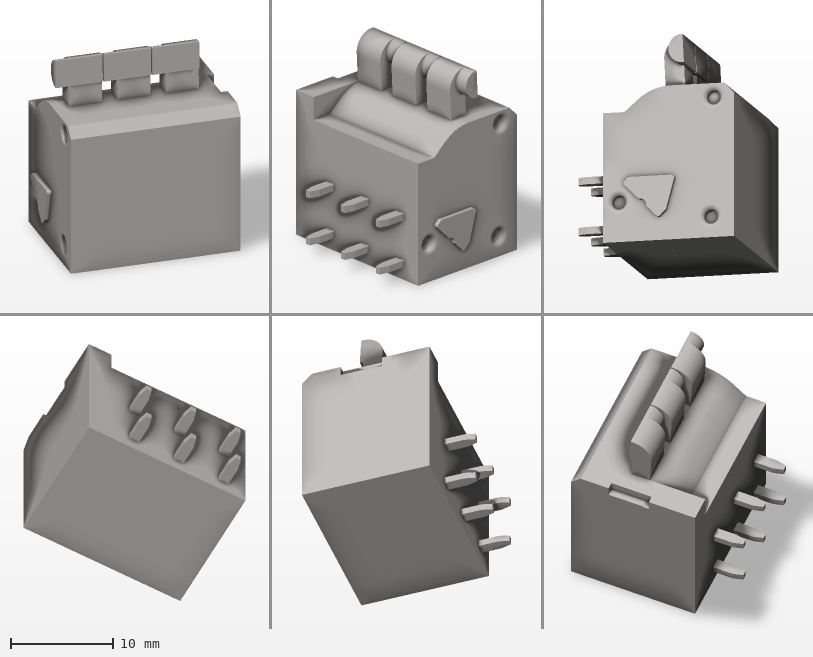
import cadquery as cq
import math


POLES = 3
PITCH = 5.0
BODY_LENGTH = 13.23
BODY_HEIGHT = 15.4
CORNER_CHAMFER = 1.03
LEDGE_HEIGHT = 12.98
LEDGE_LENGTH = 2.14
SLOPE_ANGLE = 41.0
SHOULDER_RADIUS = 5.0

PLATE_THICKNESS = 2.53
NOTCH_START = 4.93
NOTCH_LENGTH = 4.3
NOTCH_WIDTH = 0.7
NOTCH_DEPTH = 1.03
GROOVE_WIDTH = 0.72
GROOVE_DEPTH = 0.08

PIN_ROWS = 2
PIN_LENGTH = 3.08
PIN_TAPER_LENGTH = 1.03
PIN_WIDTH = 1.07
PIN_TIP_WIDTH = 0.53
PIN_THICKNESS = 0.72
LOWER_PIN_HEIGHT = 1.77
PIN_SPACING = PITCH

RECESS_CENTRES = [(11.07, 14.05), (1.5, 4.03), (10.8, 2.14)]
RECESS_RADIUS = 0.68
RECESS_LIP_RADIUS = 0.51
RECESS_DEPTH = 1.0

KEY_HEIGHT = 0.5
KEY_TOP = 6.37
KEY_RIGHT = 7.37
KEY_RIGHT_LEAN = 15.0
KEY_LEFT = 2.05
KEY_LEFT_Z = 5.8
KEY_LOWER_EDGE_DROP = 3.62
KEY_CORNER_RADIUS = 0.29
KEY_BITE_RADIUS = 0.62
KEY_BITE_X = 3.86
KEY_BITE_Z = 3.51

LEVER_TILT = 3.0
LEVER_TIP_X = 7.97
LEVER_TIP_Z = 20.55
STEM_THICKNESS = 1.97
STEM_WIDTH = 3.4
STEM_SETBACK = 0.35
STEM_DEPTH = 1.03
GRIP_WIDTH = 4.85
GRIP_HEIGHT = 2.83
GRIP_DEPTH = 1.5


def plane_facing_front(x, y, z, tilt=0.0):
    """Plane at (x, y, z) that extrudes toward -Y, turned by `tilt` degrees from +X toward +Z."""
    angle = math.radians(tilt)
    return cq.Plane(origin=(x, y, z), xDir=(math.cos(angle), 0, math.sin(angle)), normal=(0, -1, 0))


def pole_body(y_front):
    """Pole block with the low ledge, the slope and the rounded shoulder."""
    slope = math.radians(SLOPE_ANGLE)
    shoulder_drop = SHOULDER_RADIUS * (1 - math.cos(slope))
    slope_end_z = BODY_HEIGHT - shoulder_drop
    slope_end_x = LEDGE_LENGTH + (slope_end_z - LEDGE_HEIGHT) / math.tan(slope)
    shoulder_end_x = slope_end_x + SHOULDER_RADIUS * math.sin(slope)
    shoulder_mid_x = shoulder_end_x - SHOULDER_RADIUS * math.sin(slope / 2)
    shoulder_mid_z = BODY_HEIGHT - SHOULDER_RADIUS * (1 - math.cos(slope / 2))
    return (
        cq.Workplane(plane_facing_front(0, y_front + PITCH, 0))
        .lineTo(BODY_LENGTH, 0)
        .lineTo(BODY_LENGTH, BODY_HEIGHT - CORNER_CHAMFER)
        .lineTo(BODY_LENGTH - CORNER_CHAMFER, BODY_HEIGHT)
        .lineTo(shoulder_end_x, BODY_HEIGHT)
        .threePointArc((shoulder_mid_x, shoulder_mid_z), (slope_end_x, slope_end_z))
        .lineTo(LEDGE_LENGTH, LEDGE_HEIGHT)
        .lineTo(0, LEDGE_HEIGHT)
        .close()
        .extrude(PITCH)
    )


def pin(y_centre, z_centre):
    """Flat pin along -X with a tapered end."""
    half_width = PIN_WIDTH / 2
    half_tip = PIN_TIP_WIDTH / 2
    taper_start = PIN_TAPER_LENGTH - PIN_LENGTH
    return (
        cq.Workplane("XY", origin=(0, y_centre, z_centre - PIN_THICKNESS / 2))
        .moveTo(0, half_width)
        .lineTo(taper_start, half_width)
        .lineTo(-PIN_LENGTH, half_tip)
        .lineTo(-PIN_LENGTH, -half_tip)
        .lineTo(taper_start, -half_width)
        .lineTo(0, -half_width)
        .close()
        .extrude(PIN_THICKNESS)
    )


def end_plate(y_front):
    """Full-height closing plate with a notch in its rear top edge and a groove in the notch floor."""
    plate = (
        cq.Workplane("XY")
        .box(BODY_LENGTH, PLATE_THICKNESS, BODY_HEIGHT, centered=False)
        .edges(">X and >Z")
        .chamfer(CORNER_CHAMFER)
        .translate((0, y_front, 0))
    )
    y_rear = y_front + PLATE_THICKNESS
    notch = (
        cq.Workplane(plane_facing_front(NOTCH_START, y_rear, BODY_HEIGHT))
        .lineTo(0, -NOTCH_DEPTH)
        .threePointArc((GROOVE_WIDTH / 2, -NOTCH_DEPTH - GROOVE_DEPTH), (GROOVE_WIDTH, -NOTCH_DEPTH))
        .lineTo(NOTCH_LENGTH, -NOTCH_DEPTH)
        .lineTo(NOTCH_LENGTH, 0)
        .close()
        .extrude(NOTCH_WIDTH)
    )
    return plate.cut(notch)


def front_recess(x, z):
    """Round recess in the front face whose mouth flares out along a quarter round."""
    mouth_radius = RECESS_RADIUS + RECESS_LIP_RADIUS
    lip_bend = RECESS_LIP_RADIUS * math.sqrt(0.5)
    return (
        cq.Workplane("XY", origin=(x, 0, z))
        .lineTo(mouth_radius, 0)
        .threePointArc(
            (mouth_radius - lip_bend, RECESS_LIP_RADIUS - lip_bend),
            (RECESS_RADIUS, RECESS_LIP_RADIUS),
        )
        .lineTo(RECESS_RADIUS, RECESS_DEPTH)
        .lineTo(0, RECESS_DEPTH)
        .close()
        .revolve(360, (0, 0), (0, 1))
    )


def front_key():
    """Raised triangle with blunted, rounded corners and a round bite in its lower edge."""
    lower_corner_x = KEY_LEFT + KEY_LOWER_EDGE_DROP
    lower_corner_z = KEY_LEFT_Z - KEY_LOWER_EDGE_DROP
    lean = math.tan(math.radians(KEY_RIGHT_LEAN))
    rise = (KEY_RIGHT - lower_corner_x - (KEY_TOP - lower_corner_z) * lean) / (1 - lean)
    outline = [
        (KEY_LEFT, KEY_LEFT_Z),
        (KEY_LEFT + KEY_TOP - KEY_LEFT_Z, KEY_TOP),
        (KEY_RIGHT, KEY_TOP),
        (lower_corner_x + rise, lower_corner_z + rise),
        (lower_corner_x, lower_corner_z),
    ]
    triangle = (
        cq.Workplane(plane_facing_front(0, 0, 0))
        .polyline(outline)
        .close()
        .extrude(KEY_HEIGHT)
        .edges("|Y")
        .fillet(KEY_CORNER_RADIUS)
    )
    bite = (
        cq.Workplane(plane_facing_front(KEY_BITE_X, 0, KEY_BITE_Z))
        .circle(KEY_BITE_RADIUS)
        .extrude(KEY_HEIGHT)
    )
    return triangle.cut(bite)


def make_lever(y_front):
    """Tilted lever: a stem with a rounded top, and a D-shaped grip bar across it."""
    plane = plane_facing_front(LEVER_TIP_X, y_front + PITCH, LEVER_TIP_Z, LEVER_TILT)
    stem_left = -STEM_SETBACK - STEM_THICKNESS
    stem_bottom = BODY_HEIGHT - STEM_DEPTH - LEVER_TIP_Z
    bend = STEM_THICKNESS * math.sqrt(0.5)
    stem = (
        cq.Workplane(plane)
        .moveTo(-STEM_SETBACK, 0)
        .threePointArc((-STEM_SETBACK - bend, bend - STEM_THICKNESS), (stem_left, -STEM_THICKNESS))
        .lineTo(stem_left, stem_bottom)
        .lineTo(-STEM_SETBACK, stem_bottom)
        .close()
        .extrude(STEM_WIDTH)
    )
    grip = (
        cq.Workplane(plane)
        .lineTo(-STEM_SETBACK, 0)
        .threePointArc((-GRIP_DEPTH, -GRIP_HEIGHT / 2), (-STEM_SETBACK, -GRIP_HEIGHT))
        .lineTo(0, -GRIP_HEIGHT)
        .close()
        .extrude(GRIP_WIDTH)
    )
    return stem.union(grip)


def make_housing(pole, lever):
    """One pole housing, counted from the front, with a seat that fits the given lever."""
    y_front = pole * PITCH
    housing = pole_body(y_front)
    for row in range(PIN_ROWS):
        housing = housing.union(pin(y_front + PITCH / 2, LOWER_PIN_HEIGHT + row * PIN_SPACING))
    if pole == 0:
        housing = housing.union(front_key())
        for x, z in RECESS_CENTRES:
            housing = housing.cut(front_recess(x, z))
    housing = housing.cut(lever)
    if pole == POLES - 1:
        housing = housing.union(end_plate(y_front + PITCH), clean=False)
    return housing


levers = [make_lever(pole * PITCH) for pole in range(POLES)]
housings = [make_housing(pole, lever) for pole, lever in enumerate(levers)]

result = cq.Compound.makeCompound([body.val() for body in housings + levers])